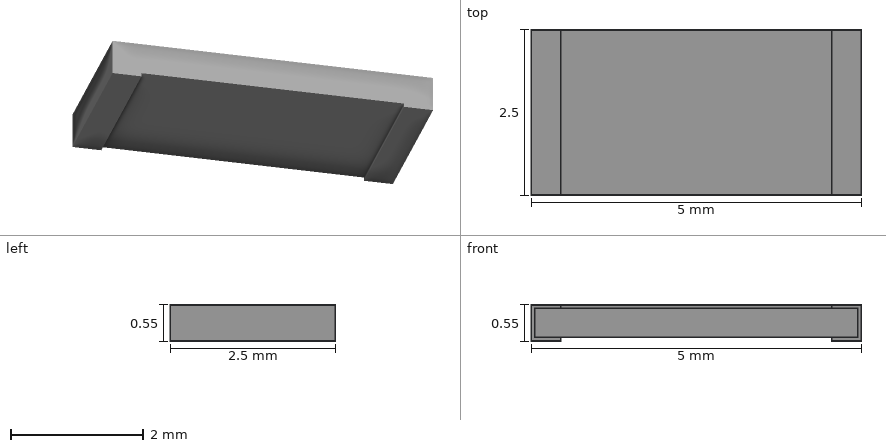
import cadquery as cq

length = 5.0
width = 2.5
height = 0.55

plating = height / 10
terminal_length = 0.45

core_length = length - 2 * plating
core_height = height - 2 * plating
coating_length = length - 2 * terminal_length


def make_slab(slab_length, thickness, bottom):
    """Full-width block centred in X and Y, resting at the height `bottom`."""
    base = cq.Workplane("XY").workplane(offset=bottom)
    return base.box(slab_length, width, thickness, centered=(True, True, False))


def make_terminal(side):
    """C-shaped end cap around the core; side is -1 for the -X end, +1 for the +X end."""
    outer_x = side * length / 2
    wall_x = side * core_length / 2
    inner_x = side * coating_length / 2
    profile = [
        (inner_x, 0),
        (outer_x, 0),
        (outer_x, height),
        (inner_x, height),
        (inner_x, height - plating),
        (wall_x, height - plating),
        (wall_x, plating),
        (inner_x, plating),
    ]
    return cq.Workplane("XZ").polyline(profile).close().extrude(width / 2, both=True)


core = make_slab(core_length, core_height, plating)
coating = make_slab(coating_length, plating, height - plating)
terminals = [make_terminal(side) for side in (-1, 1)]

result = cq.Compound.makeCompound(
    [
        core.val(),
        coating.val(),
        *[terminal.val() for terminal in terminals],
    ]
)